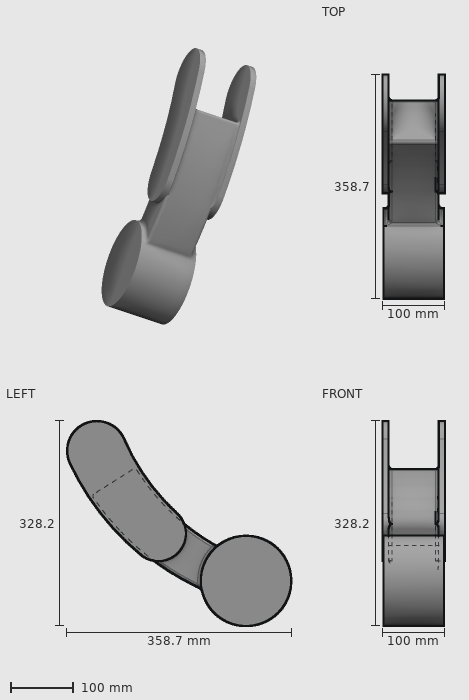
import cadquery as cq
import math

drum_radius = 72.5
drum_width = 97.2
overall_width = 100.0
cheek_thickness = 10.0

upper_centre = (238.5, 208.0)
upper_radius = 47.7
lower_centre = (140.2, 75.5)
lower_radius = 44.0
cheek_inner_radius = 347.2
cheek_outer_radius = 425.5

neck_inset = 5.5
fillet_radius = 5.0

neck_end_inner_angle = -31.3
neck_end_outer_angle = -33.6
neck_overlap_angle = -44.0
neck_drum_angle = -70.0

neck_width = overall_width - 2 * cheek_thickness
neck_side = neck_width / 2
neck_inner_radius = cheek_inner_radius + neck_inset
neck_outer_radius = cheek_outer_radius - neck_inset
tolerance = 0.05


def distance(a, b):
    return math.hypot(a[0] - b[0], a[1] - b[1])


def point_towards(start, target, length):
    """Point at a given length from start on the line to target."""
    scale = length / distance(start, target)
    return (start[0] + (target[0] - start[0]) * scale, start[1] + (target[1] - start[1]) * scale)


def polar(centre, radius, angle):
    turn = math.radians(angle)
    return (centre[0] + radius * math.cos(turn), centre[1] + radius * math.sin(turn))


def bend_centre(upper_distance, lower_distance):
    """Point at the given distances from the two cheek end centres, on their -Y, +Z side."""
    span = distance(upper_centre, lower_centre)
    along = (upper_distance**2 - lower_distance**2 + span**2) / (2 * span)
    offset = math.sqrt(upper_distance**2 - along**2)
    unit_y = (lower_centre[0] - upper_centre[0]) / span
    unit_z = (lower_centre[1] - upper_centre[1]) / span
    return (
        upper_centre[0] + along * unit_y + offset * unit_z,
        upper_centre[1] + along * unit_z - offset * unit_y,
    )


inner_bend = bend_centre(cheek_inner_radius + upper_radius, cheek_inner_radius + lower_radius)
outer_bend = bend_centre(cheek_outer_radius - upper_radius, cheek_outer_radius - lower_radius)


def cheek_slab(x_min, width):
    """Tapered, round-ended cheek outline extruded along X."""
    inner_upper = point_towards(inner_bend, upper_centre, cheek_inner_radius)
    inner_lower = point_towards(inner_bend, lower_centre, cheek_inner_radius)
    outer_upper = point_towards(outer_bend, upper_centre, cheek_outer_radius)
    outer_lower = point_towards(outer_bend, lower_centre, cheek_outer_radius)
    centre_line_middle = (
        (upper_centre[0] + lower_centre[0]) / 2,
        (upper_centre[1] + lower_centre[1]) / 2,
    )
    upper_tip = point_towards(lower_centre, upper_centre, distance(lower_centre, upper_centre) + upper_radius)
    lower_tip = point_towards(upper_centre, lower_centre, distance(lower_centre, upper_centre) + lower_radius)
    return (
        cq.Workplane("YZ", origin=(x_min, 0, 0))
        .moveTo(*inner_upper)
        .threePointArc(point_towards(inner_bend, centre_line_middle, cheek_inner_radius), inner_lower)
        .threePointArc(lower_tip, outer_lower)
        .threePointArc(point_towards(outer_bend, centre_line_middle, cheek_outer_radius), outer_upper)
        .threePointArc(upper_tip, inner_upper)
        .close()
        .extrude(width)
    )


def neck_bar(start_inner_angle, start_outer_angle):
    """Square-edged curved bar running from the given end into the drum."""
    middle_inner = (start_inner_angle + neck_drum_angle) / 2
    middle_outer = (start_outer_angle + neck_drum_angle) / 2
    return (
        cq.Workplane("YZ", origin=(-neck_side, 0, 0))
        .moveTo(*polar(inner_bend, neck_inner_radius, start_inner_angle))
        .threePointArc(
            polar(inner_bend, neck_inner_radius, middle_inner),
            polar(inner_bend, neck_inner_radius, neck_drum_angle),
        )
        .lineTo(*polar(outer_bend, neck_outer_radius, neck_drum_angle))
        .threePointArc(
            polar(outer_bend, neck_outer_radius, middle_outer),
            polar(outer_bend, neck_outer_radius, start_outer_angle),
        )
        .close()
        .extrude(neck_width)
    )


def lies_on(edge, centre, radius):
    """Whether the middle of an edge is at a radius from a centre in the bending plane."""
    middle = edge.positionAt(0.5)
    return abs(distance((middle.y, middle.z), centre) - radius) < tolerance


def on_neck_side(edge):
    return abs(abs(edge.Center().x) - neck_side) < tolerance


def make_fork():
    """Two cheeks joined by the neck, with coves where they meet."""
    web = neck_bar(neck_end_inner_angle, neck_end_outer_angle)
    web = web.edges("|X").edges(">Y or >Z").fillet(fillet_radius)
    fork = web.intersect(cheek_slab(-neck_side, neck_width))
    fork = fork.union(cheek_slab(-overall_width / 2, cheek_thickness))
    fork = fork.union(cheek_slab(neck_side, cheek_thickness))
    cheek_outline = (
        (inner_bend, cheek_inner_radius),
        (outer_bend, cheek_outer_radius),
        (upper_centre, upper_radius),
        (lower_centre, lower_radius),
    )
    joints = [
        edge
        for edge in fork.edges().vals()
        if on_neck_side(edge) and not any(lies_on(edge, *arc) for arc in cheek_outline)
    ]
    return fork.newObject(joints).fillet(fillet_radius)


def make_drum_and_neck():
    """Drum with the lower neck, coved at the drum and rounded along the neck."""
    drum = cq.Workplane("YZ", origin=(-drum_width / 2, 0, 0)).circle(drum_radius).extrude(drum_width)
    drum = drum.rotate((0, 0, 0), (1, 0, 0), 90)
    body = drum.union(neck_bar(neck_overlap_angle, neck_overlap_angle))

    def is_drum_joint(edge):
        box = edge.BoundingBox()
        return lies_on(edge, (0, 0), drum_radius) and max(-box.xmin, box.xmax) < neck_side + tolerance

    def is_long_edge(edge):
        on_inner = lies_on(edge, inner_bend, neck_inner_radius)
        on_outer = lies_on(edge, outer_bend, neck_outer_radius)
        return on_neck_side(edge) and (on_inner or on_outer)

    joints = [edge for edge in body.edges().vals() if is_drum_joint(edge)]
    body = body.newObject(joints).fillet(fillet_radius)
    long_edges = [edge for edge in body.edges().vals() if is_long_edge(edge)]
    return body.newObject(long_edges).fillet(fillet_radius)


result = make_drum_and_neck().union(make_fork())